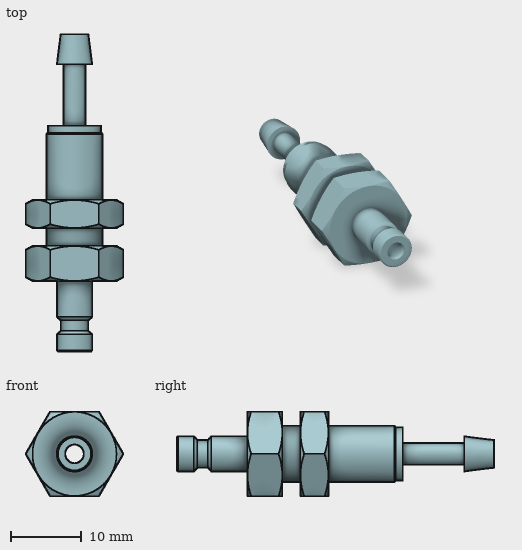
import cadquery as cq
import math

total_length = 45.0
bore_radius = 1.3

plug_radius = 2.5
plug_end_chamfer = 0.2
groove_radius = 2.0
groove_start = 2.45
groove_end = 4.9
groove_bevel_length = 0.5

across_flats = 12.0
corner_chamfer_angle = math.radians(30)
chamfer_circle_inset = 0.05
chamfer_circle_radius = across_flats / 2 - chamfer_circle_inset
hex_start = 10.0
hex_length = 5.0
nut_start = 17.5
nut_length = 4.0

barrel_radius = 4.0
barrel_end = 32.05
relief_radius = 3.8
relief_length = 1.0
relief_bevel = barrel_radius - relief_radius

stem_radius = 1.58
barb_length = 4.28
barb_base_radius = 2.5
barb_tip_radius = 2.0


def revolve_about_y(points):
    """Revolve a closed (radius, y) outline around the Y axis."""
    return cq.Workplane("XY").polyline(points).close().revolve(360, (0, 0, 0), (0, 1, 0))


def chamfered_hex(start, length):
    """Hexagonal prism along Y, corners pointing along X, chamfered at both ends."""
    corner_radius = across_flats / math.sqrt(3)
    end = start + length
    prism = (
        cq.Workplane("XZ", origin=(0, end, 0))
        .polygon(6, 2 * corner_radius)
        .extrude(length)
    )
    chamfer_depth = (corner_radius - chamfer_circle_radius) * math.tan(corner_chamfer_angle)
    envelope = revolve_about_y([
        (0, start),
        (chamfer_circle_radius, start),
        (corner_radius, start + chamfer_depth),
        (corner_radius, end - chamfer_depth),
        (chamfer_circle_radius, end),
        (0, end),
    ])
    return prism.intersect(envelope)


def bore(radius, start, length):
    """Cylinder along Y used to cut a hole."""
    return cq.Workplane("XZ", origin=(0, start + length, 0)).circle(radius).extrude(length)


def make_fitting():
    """Plug, fixed hex, barrel and hose barb with a through bore."""
    barb_start = total_length - barb_length
    relief_start = barrel_end - relief_length
    turned = revolve_about_y([
        (0, 0),
        (plug_radius - plug_end_chamfer, 0),
        (plug_radius, plug_end_chamfer),
        (plug_radius, groove_start),
        (groove_radius, groove_start + groove_bevel_length),
        (groove_radius, groove_end - groove_bevel_length),
        (plug_radius, groove_end),
        (plug_radius, hex_start),
        (barrel_radius, hex_start),
        (barrel_radius, relief_start - relief_bevel),
        (relief_radius, relief_start),
        (relief_radius, barrel_end),
        (stem_radius, barrel_end),
        (stem_radius, barb_start),
        (barb_base_radius, barb_start),
        (barb_tip_radius, total_length),
        (0, total_length),
    ])
    solid = turned.union(chamfered_hex(hex_start, hex_length))
    return solid.cut(bore(bore_radius, 0, total_length))


def make_lock_nut():
    """Hex nut fitting closely around the barrel."""
    return chamfered_hex(nut_start, nut_length).cut(bore(barrel_radius, nut_start, nut_length))


fitting = make_fitting()
lock_nut = make_lock_nut()

result = cq.Compound.makeCompound([fitting.val(), lock_nut.val()])